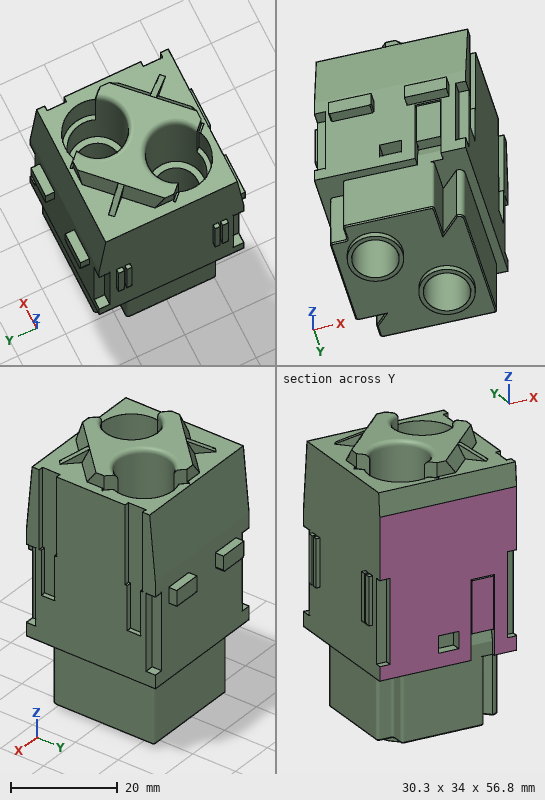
import cadquery as cq


HOUSING_X = 29.45
HOUSING_Y = 30.2
TOP_Y = 27.5
TAPER_Z = 23.9
HOUSING_TOP = 38.5

NOTCH_LEFT_X = 2.15
NOTCH_RIGHT_X = 1.95
NOTCH_Y = 2.2
NOTCH_BOTTOM = 3.05
SNAP_TOP = 20.6

EMBED = 1.0

OVERALL_Y = 34.0
TAB_BOTTOM = 17.05
FRONT_TABS = ((-11.48, -3.16), (3.32, 11.46))
BACK_TABS = ((-10.54, -4.1), (4.27, 10.53))
TAB_BEVEL_X = 0.25
TAB_BEVEL_Z = 0.4

RIB_HEIGHT = 0.85
RIB_BOTTOM = 10.5
OUTER_RIB = (10.25, 11.48)
INNER_RIB = (8.7, 9.75)
SLOT_CENTER_Y = 10.05
SLOT_WIDTH = 3.1
SLOT_MOUTH_WIDTH = 4.05
SLOT_DEPTH = 1.04

ARM_SLOT = (4.9, 9.9)
ARM_SLOT_TOP = 16.55
ARM_GAP = 0.17
ARM_RECESS = 0.2
ARM_TIP_Z = 5.4
RAMP_BOTTOM = 2.7
RAMP_DEPTH = 0.65
WINDOW_X = (-2.06, 2.2)
WINDOW_Z = (3.08, 6.54)
WINDOW_DEPTH = 2.8

PLUG_LEFT = -13.02
PLUG_RIGHT = 13.05
PLUG_HALF_Y = 13.55
PLUG_LENGTH = 14.2
PLUG_FILLET = 0.6
PLUG_KEY_FILLET = 1.15
PLUG_INNER_FILLET = 0.5
PLUG_BEVEL = 0.25
PLUG_NOTCH_X = -9.63
PLUG_NOTCH_FRONT_Y = -10.25
PLUG_NOTCH_BACK_Y = 8.5
PLUG_BACK_BEND_Y = 10.67
PLUG_KEY_X = 8.1
PLUG_KEY_Y = -10.4
PLUG_KEY_BEND_X = 11.63

CONTACT_X = 5.45
CONTACT_Y = 5.53
CONTACTS = ((CONTACT_X, CONTACT_Y), (-CONTACT_X, -CONTACT_Y))
TUBE_RADIUS = 5.3
TUBE_LENGTH = 1.2
HOLE_RADIUS = 4.45
BORE_RADIUS = 5.77
BORE_FLOOR = 20.6
MOUTH_FILLET = 1.0
RELIEF_RADIUS = BORE_RADIUS + MOUTH_FILLET
RELIEF_FLOOR = 30.0

BLOCK_HALF = 12.65
BLOCK_HEIGHT = 2.9
BLOCK_TOP = HOUSING_TOP + BLOCK_HEIGHT
BLOCK_END_DISTANCE = 10.04
BLOCK_SIDE_BOTTOM = 10.68
BLOCK_SIDE_TOP = 9.19
WEB_TIP_DISTANCE = 14.78
WEB_THICKNESS = 1.2
GROOVE_WIDTH = 0.4
GROOVE_LENGTH = 16.5
GROOVE_DEPTH = 0.3


def box(x, y, z):
    """Box from (start, end) pairs along each axis."""
    size = (x[1] - x[0], y[1] - y[0], z[1] - z[0])
    return cq.Workplane("XY").box(*size, centered=False).translate((x[0], y[0], z[0]))


def cylinder(radius, center, bottom, top):
    return cq.Workplane("XY", origin=(*center, bottom)).circle(radius).extrude(top - bottom)


def turned(body, degrees):
    return body.rotate((0, 0, 0), (0, 0, 1), degrees)


def make_housing():
    half_y = HOUSING_Y / 2
    profile = [
        (-half_y, 0), (half_y, 0), (half_y, TAPER_Z),
        (TOP_Y / 2, HOUSING_TOP), (-TOP_Y / 2, HOUSING_TOP), (-half_y, TAPER_Z),
    ]
    housing = cq.Workplane("YZ").polyline(profile).close().extrude(HOUSING_X / 2, both=True)
    half_x = HOUSING_X / 2
    for x in ((-half_x, NOTCH_LEFT_X - half_x), (half_x - NOTCH_RIGHT_X, half_x)):
        for y in ((-half_y, NOTCH_Y - half_y), (half_y - NOTCH_Y, half_y)):
            housing = housing.cut(box(x, y, (NOTCH_BOTTOM, SNAP_TOP)))
    return housing


def make_tabs():
    """Latch tabs; the left tab on each face has bevelled lower corners."""
    tabs = cq.Workplane("XY")
    inner_y = HOUSING_Y / 2 - EMBED
    front = (-OVERALL_Y / 2, -inner_y)
    back = (inner_y, OVERALL_Y / 2)
    for spans, y in ((FRONT_TABS, front), (BACK_TABS, back)):
        for x in spans:
            tab = box(x, y, (TAB_BOTTOM, SNAP_TOP))
            if x == spans[0]:
                tab = tab.faces("<Z").edges("|Y").chamfer(TAB_BEVEL_Z, TAB_BEVEL_X)
            tabs = tabs.add(tab)
    return tabs.combine()


def add_ribs_and_slots(body):
    half_x = HOUSING_X / 2
    x = (-half_x - RIB_HEIGHT, EMBED - half_x)
    for start, end in (OUTER_RIB, INNER_RIB):
        for y in ((start, end), (-end, -start)):
            body = body.union(box(x, y, (RIB_BOTTOM, SNAP_TOP)))
    for center in (-SLOT_CENTER_Y, SLOT_CENTER_Y):
        for width, bottom in ((SLOT_WIDTH, RIB_BOTTOM), (SLOT_MOUTH_WIDTH, SNAP_TOP)):
            y = (center - width / 2, center + width / 2)
            body = body.cut(box((half_x - SLOT_DEPTH, half_x), y, (bottom, HOUSING_TOP)))
    return body


def cut_front_face(body):
    """Square window, and a slot holding a spring arm with a ramp running in beneath it."""
    face_y = -HOUSING_Y / 2
    body = body.cut(box(WINDOW_X, (face_y, face_y + WINDOW_DEPTH), WINDOW_Z))
    body = body.cut(box(ARM_SLOT, (face_y, -PLUG_HALF_Y), (0, ARM_SLOT_TOP)))
    arm_x = (ARM_SLOT[0] + ARM_GAP, ARM_SLOT[1] - ARM_GAP)
    arm = box(arm_x, (face_y + ARM_RECESS, -PLUG_HALF_Y), (ARM_TIP_Z, ARM_SLOT_TOP - ARM_GAP))
    ramp_profile = [
        (-PLUG_HALF_Y, RAMP_BOTTOM), (RAMP_DEPTH - PLUG_HALF_Y, ARM_TIP_Z), (-PLUG_HALF_Y, ARM_TIP_Z),
    ]
    ramp_cutter = (
        cq.Workplane("YZ", origin=(ARM_SLOT[0], 0, 0))
        .polyline(ramp_profile).close().extrude(ARM_SLOT[1] - ARM_SLOT[0])
    )
    return body.union(arm).cut(ramp_cutter)


def make_plug():
    """Plug end with three notched corners; two of the notches run into a diagonal wall."""
    back_depth = PLUG_BACK_BEND_Y - PLUG_NOTCH_BACK_Y
    key_depth = PLUG_KEY_BEND_X - PLUG_KEY_X
    front_y = -PLUG_HALF_Y
    outline = [
        (PLUG_NOTCH_X, front_y), (PLUG_KEY_X, front_y),
        (PLUG_KEY_X, PLUG_KEY_Y + key_depth), (PLUG_KEY_BEND_X, PLUG_KEY_Y),
        (PLUG_RIGHT, PLUG_KEY_Y), (PLUG_RIGHT, PLUG_HALF_Y), (PLUG_NOTCH_X, PLUG_HALF_Y),
        (PLUG_NOTCH_X, PLUG_BACK_BEND_Y), (PLUG_NOTCH_X + back_depth, PLUG_NOTCH_BACK_Y),
        (PLUG_LEFT, PLUG_NOTCH_BACK_Y), (PLUG_LEFT, PLUG_NOTCH_FRONT_Y),
        (PLUG_NOTCH_X, PLUG_NOTCH_FRONT_Y),
    ]
    plug = cq.Workplane("XY").polyline(outline).close().extrude(-PLUG_LENGTH)

    rounded = [
        (PLUG_NOTCH_X, front_y, PLUG_FILLET),
        (PLUG_KEY_X, front_y, PLUG_FILLET),
        (PLUG_RIGHT, PLUG_KEY_Y, PLUG_KEY_FILLET),
        (PLUG_RIGHT, PLUG_HALF_Y, PLUG_FILLET),
        (PLUG_NOTCH_X, PLUG_HALF_Y, PLUG_FILLET),
        (PLUG_LEFT, PLUG_NOTCH_BACK_Y, PLUG_FILLET),
        (PLUG_LEFT, PLUG_NOTCH_FRONT_Y, PLUG_FILLET),
        (PLUG_NOTCH_X, PLUG_NOTCH_FRONT_Y, PLUG_INNER_FILLET),
    ]
    for x, y, radius in rounded:
        corner_edge = cq.selectors.NearestToPointSelector((x, y, -PLUG_LENGTH / 2))
        plug = plug.edges("|Z").edges(corner_edge).fillet(radius)
    return plug.faces("<Z").edges().chamfer(PLUG_BEVEL)


def make_raised_block():
    """Block with flat ends across the bores, and two sloped sides each braced by a web."""
    side = 2 * BLOCK_HALF
    block = cq.Workplane("XY", origin=(0, 0, HOUSING_TOP)).rect(side, side).extrude(BLOCK_HEIGHT)
    profile = [
        (-BLOCK_SIDE_BOTTOM, HOUSING_TOP), (BLOCK_SIDE_BOTTOM, HOUSING_TOP),
        (BLOCK_SIDE_TOP, BLOCK_TOP), (-BLOCK_SIDE_TOP, BLOCK_TOP),
    ]
    trim = cq.Workplane("XZ").polyline(profile).close().extrude(BLOCK_END_DISTANCE, both=True)
    block = block.intersect(turned(trim, -45))
    web_profile = [
        (-WEB_TIP_DISTANCE, HOUSING_TOP), (WEB_TIP_DISTANCE, HOUSING_TOP),
        (BLOCK_SIDE_TOP, BLOCK_TOP), (-BLOCK_SIDE_TOP, BLOCK_TOP),
    ]
    web = cq.Workplane("XZ").polyline(web_profile).close().extrude(WEB_THICKNESS / 2, both=True)
    return block.union(turned(web, -45))


def bore_cutter(center):
    """Bore with a rounded mouth at the block top."""
    cutter = (
        cq.Workplane("XZ")
        .moveTo(0, BORE_FLOOR)
        .lineTo(BORE_RADIUS, BORE_FLOOR)
        .lineTo(BORE_RADIUS, BLOCK_TOP - MOUTH_FILLET)
        .radiusArc((RELIEF_RADIUS, BLOCK_TOP), MOUTH_FILLET)
        .lineTo(0, BLOCK_TOP)
        .close()
        .revolve(360, (0, 0, 0), (0, 1, 0))
    )
    return cutter.translate((*center, 0))


def outer_relief(center, side):
    """Wider half bore and a shallow groove, beyond the block end at x > 0 or x < 0."""
    direction = 45 if side > 0 else 225
    beyond = box((BLOCK_END_DISTANCE, HOUSING_X), (-HOUSING_Y, HOUSING_Y), (0, BLOCK_TOP))
    relief = cylinder(RELIEF_RADIUS, center, RELIEF_FLOOR, HOUSING_TOP)
    relief = relief.intersect(turned(beyond, direction))
    groove = box(
        (BLOCK_END_DISTANCE, BLOCK_END_DISTANCE + GROOVE_WIDTH),
        (-GROOVE_LENGTH / 2, GROOVE_LENGTH / 2),
        (HOUSING_TOP - GROOVE_DEPTH, HOUSING_TOP),
    )
    return relief.union(turned(groove, direction))


def build():
    body = make_housing().union(make_tabs())
    body = add_ribs_and_slots(body)
    body = body.union(make_plug()).union(make_raised_block())
    body = cut_front_face(body)
    tube_bottom = -PLUG_LENGTH - TUBE_LENGTH
    for center in CONTACTS:
        body = body.union(cylinder(TUBE_RADIUS, center, tube_bottom, 0))
    for center in CONTACTS:
        body = body.cut(bore_cutter(center))
        body = body.cut(outer_relief(center, center[0]))
        body = body.cut(cylinder(HOLE_RADIUS, center, tube_bottom, BLOCK_TOP))
    return body


result = build()